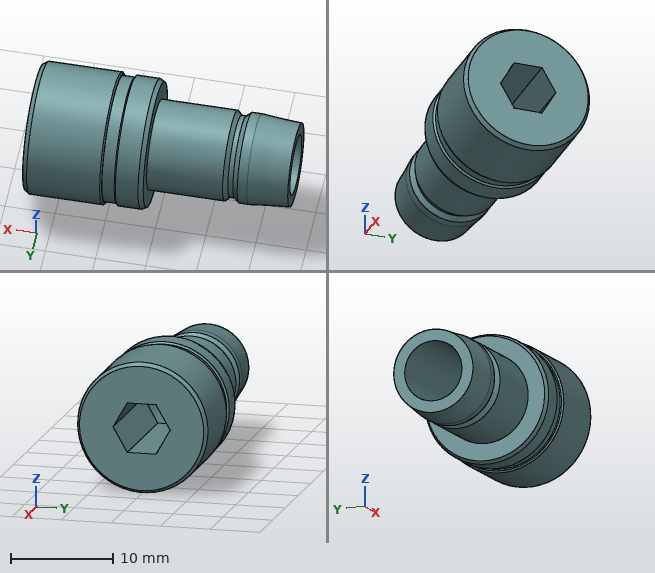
import cadquery as cq

length = 26.0
taper_end_x = 4.0
neck_start_x = 4.97
neck_floor_start_x = 5.49
neck_floor_end_x = 5.98
neck_end_x = 6.42
shoulder_x = 14.0
collar_chamfer_length = 0.47
collar_end_x = 16.72
groove_start_x = 16.87
groove_end_x = 18.1
body_start_x = 18.25
end_chamfer_length = 0.47

nose_diameter = 8.32
shank_diameter = 9.0
neck_diameter = 8.15
shoulder_face_diameter = 12.45
collar_diameter = 12.95
groove_diameter = 12.5
groove_wall_diameter = 12.8
body_diameter = 13.15
end_face_diameter = 12.53

bore_diameter = 6.0
hex_across_flats = 5.0
hex_turn_degrees = 30


def turned_body():
    """Revolve the stepped outer profile about the X axis."""
    steps = [
        (0, nose_diameter),
        (taper_end_x, shank_diameter),
        (neck_start_x, shank_diameter),
        (neck_floor_start_x, neck_diameter),
        (neck_floor_end_x, neck_diameter),
        (neck_end_x, shank_diameter),
        (shoulder_x, shank_diameter),
        (shoulder_x, shoulder_face_diameter),
        (shoulder_x + collar_chamfer_length, collar_diameter),
        (collar_end_x, collar_diameter),
        (groove_start_x, groove_diameter),
        (groove_end_x, groove_diameter),
        (groove_end_x, groove_wall_diameter),
        (body_start_x, body_diameter),
        (length - end_chamfer_length, body_diameter),
        (length, end_face_diameter),
    ]
    outer = [(x, diameter / 2) for x, diameter in steps]
    profile = cq.Workplane("XZ").polyline([(0, 0)] + outer + [(length, 0)]).close()
    return profile.revolve(360, (0, 0, 0), (1, 0, 0))


def bore():
    """Round hole from the nose to the shoulder."""
    return cq.Workplane("YZ").circle(bore_diameter / 2).extrude(shoulder_x)


def hex_socket():
    """Hexagon with corners on the Y axis, running through to the drive end."""
    socket = cq.Workplane("YZ").polygon(6, hex_across_flats, circumscribed=True)
    return socket.extrude(length).rotate((0, 0, 0), (1, 0, 0), hex_turn_degrees)


result = turned_body().cut(bore()).cut(hex_socket())